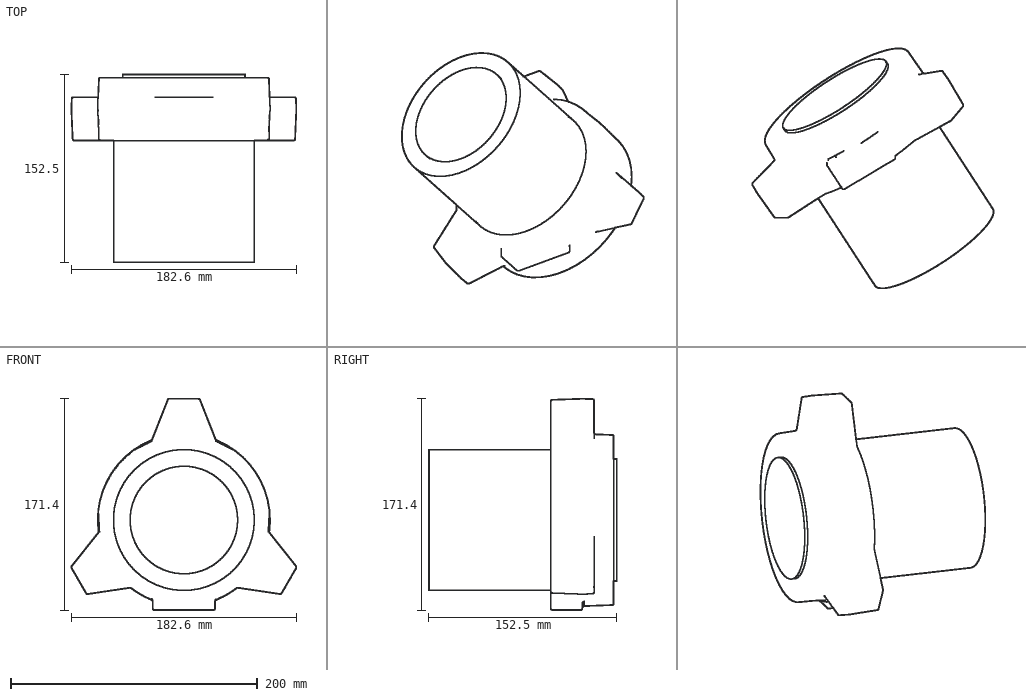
import cadquery as cq
import math


PIPE_LENGTH = 98.8
PIPE_RADIUS = 57.1
BORE_RADIUS = 43.6

PARTING_Y = 25.7
LUG_BACK_Y = 35.2
NUT_BACK_Y = 51.1
NUT_RADIUS = 70.0
DRAFT_ANGLE = 2.0
EDGE_RADIUS = 1.5
TOLERANCE = 0.02

LUG_COUNT = 3
LUG_TIP_RADIUS = 98.4
LUG_TIP_HALF_WIDTH = 12.8
LUG_FLANK_ANGLE = 21.5
LUG_INNER_RADIUS = 54.8

FOOT_DEPTH = 73.0
FOOT_HALF_WIDTH = 25.4

BOSS_BACK_Y = 53.7
BOSS_RADIUS = 49.7


def plane_at(y):
    """Plane across the axis with local X = X, local Y = Z and normal -Y."""
    return cq.Workplane("XZ", origin=(0, y, 0))


def cylinder(radius, start_y, end_y):
    return plane_at(end_y).circle(radius).extrude(end_y - start_y)


def drafted(outline, end_y):
    """Extrude an outline at the parting plane to end_y, narrowing with the draft."""
    return outline.extrude(PARTING_Y - end_y, taper=DRAFT_ANGLE)


def drafted_lugs(end_y):
    """Ring of lugs from the parting plane to end_y, each a trapezoid narrowing outward."""
    flank_run = LUG_TIP_RADIUS - LUG_INNER_RADIUS
    inner_half_width = LUG_TIP_HALF_WIDTH + flank_run * math.tan(math.radians(LUG_FLANK_ANGLE))
    outline = plane_at(PARTING_Y).polyline([
        (-inner_half_width, LUG_INNER_RADIUS),
        (-LUG_TIP_HALF_WIDTH, LUG_TIP_RADIUS),
        (LUG_TIP_HALF_WIDTH, LUG_TIP_RADIUS),
        (inner_half_width, LUG_INNER_RADIUS),
    ]).close()
    lug = drafted(outline, end_y)
    lugs = lug
    for index in range(1, LUG_COUNT):
        lugs = lugs.union(lug.rotate((0, 0, 0), (0, 1, 0), index * 360 / LUG_COUNT))
    return lugs


def lies_in(edge, y):
    """True when the whole edge lies in the plane across the axis at y."""
    box = edge.BoundingBox()
    return max(abs(box.ymin - y), abs(box.ymax - y)) < TOLERANCE


def is_nut_seam(edge):
    """True for the straight closing line of the round nut surface."""
    return edge.geomType() == "LINE" and abs(edge.Center().z) < TOLERANCE


def is_foot_edge(edge):
    """True for the edges of the foot and its roots, the front outline excepted."""
    center = edge.Center()
    beside_foot = abs(center.x) < FOOT_HALF_WIDTH + EDGE_RADIUS
    below_pipe = center.z < -(PIPE_RADIUS + EDGE_RADIUS)
    return beside_foot and below_pipe and not lies_in(edge, 0) and not lies_in(edge, NUT_BACK_Y)


def make_drafted_half(ring_end_y, lug_end_y, sharp_planes):
    """Ring and lugs on one side of the parting plane, rounded except in the sharp planes."""
    ring = drafted(plane_at(PARTING_Y).circle(NUT_RADIUS), ring_end_y)
    half = ring.union(drafted_lugs(lug_end_y))
    edges = [
        edge for edge in half.edges().vals()
        if not is_nut_seam(edge) and not any(lies_in(edge, y) for y in sharp_planes)
    ]
    return half.newObject(edges).fillet(EDGE_RADIUS)


def make_foot():
    """Undrafted block standing out from the underside, from the parting plane forward."""
    outline = plane_at(PARTING_Y).center(0, -FOOT_DEPTH / 2).rect(2 * FOOT_HALF_WIDTH, FOOT_DEPTH)
    return outline.extrude(PARTING_Y)


def make_nut():
    front_half = make_drafted_half(0, 0, [0, PARTING_Y])
    back_half = make_drafted_half(NUT_BACK_Y, LUG_BACK_Y, [PARTING_Y, NUT_BACK_Y])
    back_half = back_half.faces(">Y").edges().fillet(EDGE_RADIUS)
    nut = front_half.union(back_half).union(make_foot())
    foot_edges = [edge for edge in nut.edges().vals() if is_foot_edge(edge)]
    nut = nut.newObject(foot_edges).fillet(EDGE_RADIUS)
    return nut.faces("<Y").edges().fillet(EDGE_RADIUS)


pipe = cylinder(PIPE_RADIUS, -PIPE_LENGTH, PARTING_Y)
boss = cylinder(BOSS_RADIUS, PARTING_Y, BOSS_BACK_Y)
bore = cylinder(BORE_RADIUS, -PIPE_LENGTH, 0)

result = make_nut().union(pipe).union(boss).cut(bore)